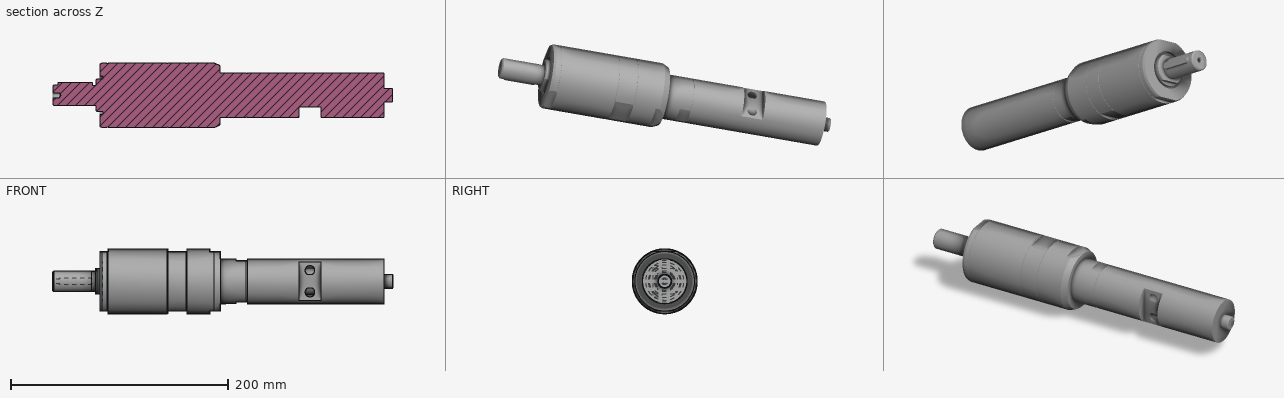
import cadquery as cq

total_length = 313.5

shaft_diameter = 19.0
shaft_end = 36.0
shaft_chamfer = 1.3
neck_diameter = 18.8
centre_hole_diameter = 4.0
centre_hole_depth = 6.3
centre_hole_tip = 1.3
countersink_diameter = 6.3

key_start = 5.0
key_end = 37.0
key_width = 6.3
key_top = 12.0
key_floor = 6.3

collar_start = 39.8
collar_diameter = 30.0
collar_chamfer = 1.0
collar_across_flats = 23.8
seal_recess_diameter = 35.0
seal_recess_depth = 2.5

housing_start = 43.5
housing_end = 154.5
housing_diameter = 60.0
housing_across_flats = 55.0
nose_chamfer_length = 2.2
nose_chamfer_depth = 1.0
housing_taper_start = 149.0
housing_rear_diameter = housing_across_flats
front_flat_end = 51.0
middle_flat_start = 106.3
middle_flat_end = 123.8
rear_flat_start = 144.8

barrel_diameter = 41.5
barrel_end = 305.5
barrel_flat_start = 169.0
barrel_flat_end = 179.3
barrel_across_flats = 38.2

notch_start = 227.0
notch_width = 20.0
notch_floor = 11.0
port_diameter = 8.8
port_offset = 10.0
port_core_diameter = 25.0
port_floor = 2.5

joint_groove_width = 1.0
joint_groove_depth = 0.3

stub_diameter = 13.0
stub_chamfer = 0.5


def cylinder(start, end, diameter):
    """Solid cylinder on the X axis between two stations."""
    return cq.Workplane("YZ", origin=(start, 0, 0)).circle(diameter / 2).extrude(end - start)


def cone(start, end, start_diameter, end_diameter):
    """Solid cone frustum on the X axis between two stations."""
    origin = cq.Vector(start, 0, 0)
    axis = cq.Vector(1, 0, 0)
    return cq.Workplane(cq.Solid.makeCone(start_diameter / 2, end_diameter / 2, end - start, origin, axis))


def box(x_range, y_range, z_range):
    """Axis-aligned block from its limits along X, Y and Z."""
    lows, highs = zip(x_range, y_range, z_range)
    sizes = [high - low for low, high in zip(lows, highs)]
    return cq.Workplane("XY").box(*sizes, centered=False).translate(lows)


def cut_flats(body, start, end, across_flats, diameter):
    """Cut two opposite wrench flats facing +Z and -Z."""
    half_width = diameter / 2
    for low, high in ((across_flats / 2, diameter), (-diameter, -across_flats / 2)):
        body = body.cut(box((start, end), (-half_width, half_width), (low, high)))
    return body


def cut_joint_groove(body, end, diameter):
    """Cut a shallow ring groove whose +X wall lies at the given station."""
    start = end - joint_groove_width
    ring = cylinder(start, end, diameter).cut(cylinder(start, end, diameter - 2 * joint_groove_depth))
    return body.cut(ring)


def make_shaft():
    shaft = cylinder(0, shaft_end, shaft_diameter).faces("<X").chamfer(shaft_chamfer)
    shaft = shaft.union(cylinder(shaft_end, housing_start, neck_diameter))
    key_length = key_end - key_start
    key = (
        cq.Workplane("XZ", origin=((key_start + key_end) / 2, key_floor, 0))
        .slot2D(key_length, key_width)
        .extrude(key_floor - key_top)
    )
    shaft = shaft.union(key)
    countersink_depth = (countersink_diameter - centre_hole_diameter) / 2
    tip_end = centre_hole_depth + centre_hole_tip
    shaft = shaft.cut(cylinder(0, centre_hole_depth, centre_hole_diameter))
    shaft = shaft.cut(cone(centre_hole_depth, tip_end, centre_hole_diameter, 0))
    return shaft.cut(cone(0, countersink_depth, countersink_diameter, centre_hole_diameter))


def make_collar():
    collar = cylinder(collar_start, housing_start + seal_recess_depth, collar_diameter)
    collar = collar.faces("<X").chamfer(collar_chamfer)
    return cut_flats(collar, collar_start, housing_start, collar_across_flats, collar_diameter)


def make_housing():
    nose_end = housing_start + nose_chamfer_length
    nose_diameter = housing_diameter - 2 * nose_chamfer_depth
    housing = cylinder(nose_end, housing_taper_start, housing_diameter)
    housing = housing.union(cone(housing_start, nose_end, nose_diameter, housing_diameter))
    housing = housing.union(cone(housing_taper_start, housing_end, housing_diameter, housing_rear_diameter))
    flat_spans = (
        (housing_start, front_flat_end),
        (middle_flat_start, middle_flat_end),
        (rear_flat_start, housing_end),
    )
    for start, end in flat_spans:
        housing = cut_flats(housing, start, end, housing_across_flats, housing_diameter)
    for end in (front_flat_end, middle_flat_start, middle_flat_end):
        housing = cut_joint_groove(housing, end, housing_diameter)
    recess = cylinder(housing_start, housing_start + seal_recess_depth, seal_recess_diameter)
    return housing.cut(recess)


def cut_port_notch(barrel):
    """Cut the flat-floored notch and the two ports that open from it."""
    radius = barrel_diameter / 2
    notch_end = notch_start + notch_width
    barrel = barrel.cut(box((notch_start, notch_end), (-radius, -notch_floor), (-radius, radius)))
    ports = (
        cq.Workplane("XZ", origin=((notch_start + notch_end) / 2, -port_floor, 0))
        .pushPoints([(0, port_offset), (0, -port_offset)])
        .circle(port_diameter / 2)
        .extrude(notch_floor - port_floor)
    )
    port_core = cylinder(notch_start, notch_end, port_core_diameter)
    return barrel.cut(ports.cut(port_core))


def make_barrel():
    barrel = cylinder(housing_end, barrel_end, barrel_diameter)
    barrel = cut_flats(barrel, barrel_flat_start, barrel_flat_end, barrel_across_flats, barrel_diameter)
    barrel = cut_joint_groove(barrel, barrel_flat_end, barrel_diameter)
    return cut_port_notch(barrel)


def make_stub():
    return cylinder(barrel_end, total_length, stub_diameter).faces(">X").chamfer(stub_chamfer)


result = make_shaft()
for section in (make_collar(), make_housing(), make_barrel(), make_stub()):
    result = result.union(section)